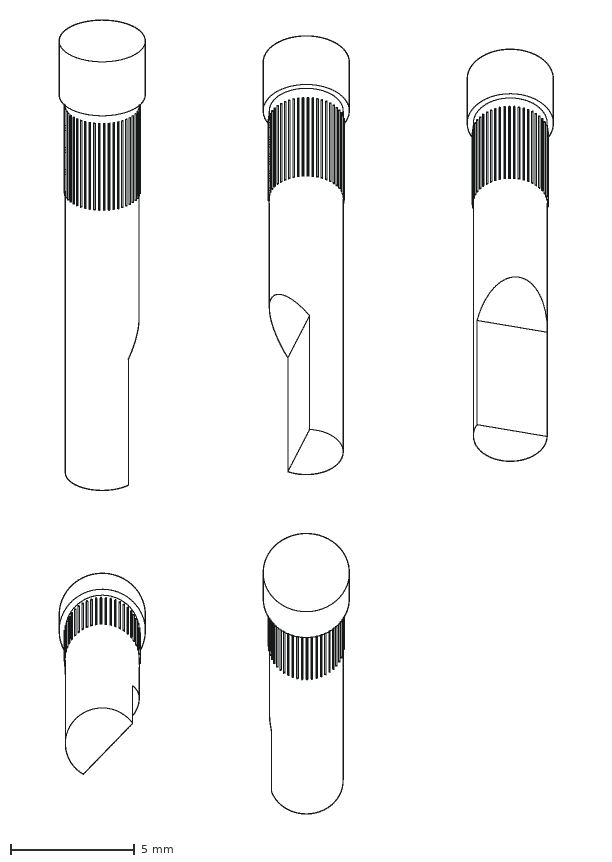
import cadquery as cq
import math

total_length = 20.0
head_diameter = 3.5
head_length = 2.5
shank_diameter = 3.0

neck_length = 0.5
knurl_length = 4.0
knurl_diameter = 3.1
tooth_count = 48
tooth_base_width = 0.07

flat_offset = 0.32
flat_length = 5.85
ramp_length = 1.65

shank_radius = shank_diameter / 2
head_bottom = total_length - head_length
knurl_bottom = head_bottom - neck_length - knurl_length


def make_body():
    shank = cq.Workplane("XY").circle(shank_radius).extrude(head_bottom)
    head = cq.Workplane("XY").workplane(offset=head_bottom).circle(head_diameter / 2).extrude(head_length)
    return shank.union(head)


def make_knurl_teeth():
    """Pointed straight teeth standing on the shank, their roots sunk into it."""
    half_base = tooth_base_width / 2
    base_radius = math.sqrt(shank_radius**2 - half_base**2)
    root_radius = shank_radius / 2
    tooth_profile = [
        (root_radius, -half_base),
        (base_radius, -half_base),
        (knurl_diameter / 2, 0),
        (base_radius, half_base),
        (root_radius, half_base),
    ]
    tooth_sketch = cq.Workplane("XY").workplane(offset=knurl_bottom).polyline(tooth_profile)
    tooth = tooth_sketch.close().extrude(knurl_length).val()
    pitch_angle = 360 / tooth_count
    axis_start = cq.Vector(0, 0, 0)
    axis_end = cq.Vector(0, 0, 1)
    return [tooth.rotate(axis_start, axis_end, index * pitch_angle) for index in range(tooth_count)]


def make_flat_cutter():
    """Removes the +Y side of the lower shank, ending in a sloping ramp."""
    profile = [
        (flat_offset, 0),
        (shank_radius, 0),
        (shank_radius, flat_length + ramp_length),
        (flat_offset, flat_length),
    ]
    return cq.Workplane("YZ").polyline(profile).close().extrude(shank_radius, both=True)


knurled_pin = make_body().val().fuse(*make_knurl_teeth())
result = cq.Workplane("XY").add(knurled_pin).cut(make_flat_cutter())